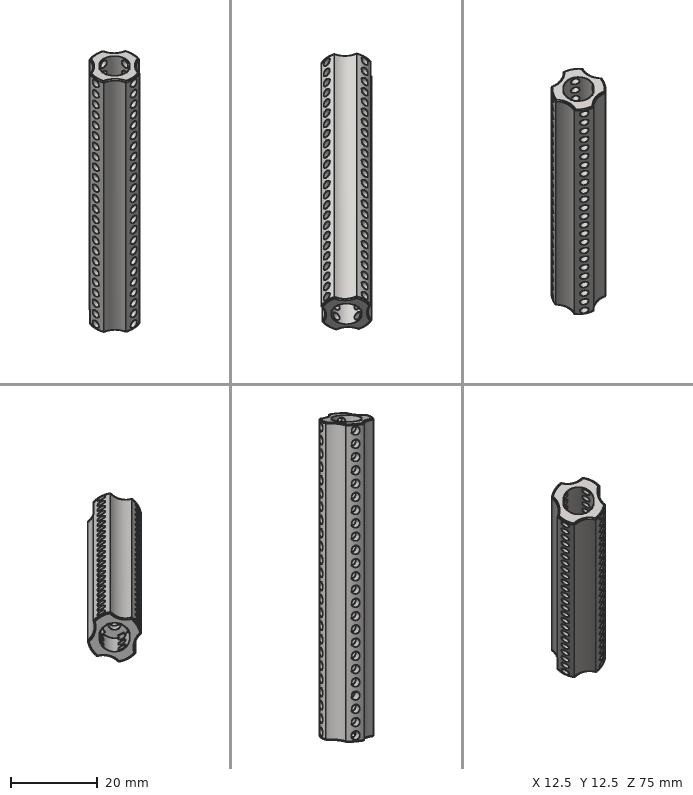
import cadquery as cq
import math

LENGTH = 75.0
OUTER_RADIUS = 12.5 / 2
LOBE_COUNT = 4
LOBE_HALF_WIDTH = 2.25
FLUTE_FLOOR_RADIUS = 4.95
END_CHAMFER = 0.3

BORE_DIAMETER = 7.1
WEB_TOP = 11.0
WEB_BOTTOM = 8.5
WEB_HOLE_DIAMETER = 3.0

SIDE_HOLE_DIAMETER = 2.0
SIDE_HOLE_COUNT = 24
SIDE_HOLE_PITCH = LENGTH / SIDE_HOLE_COUNT
WEB_CORE_DIAMETER = 6.0


def rotated(point, angle):
    """Turn a point about the tube axis by an angle in degrees."""
    x, y = point
    cosine = math.cos(math.radians(angle))
    sine = math.sin(math.radians(angle))
    return (x * cosine - y * sine, x * sine + y * cosine)


def make_body():
    """Extrude the lobed outline and chamfer both ends."""
    step = 360 / LOBE_COUNT
    lobe_reach = math.sqrt(OUTER_RADIUS**2 - LOBE_HALF_WIDTH**2)
    lobe_start = (lobe_reach, -LOBE_HALF_WIDTH)
    lobe_tip = (OUTER_RADIUS, 0)
    lobe_end = (lobe_reach, LOBE_HALF_WIDTH)
    flute_floor = rotated((FLUTE_FLOOR_RADIUS, 0), step / 2)

    outline = cq.Workplane("XY").moveTo(*lobe_start)
    for index in range(LOBE_COUNT):
        angle = index * step
        outline = outline.threePointArc(rotated(lobe_tip, angle), rotated(lobe_end, angle))
        outline = outline.threePointArc(
            rotated(flute_floor, angle), rotated(lobe_start, angle + step)
        )
    return outline.close().extrude(LENGTH).faces("<Z or >Z").chamfer(END_CHAMFER)


def cylinder_along_z(diameter, bottom, top):
    """Make a cylinder on the tube axis between two heights."""
    return cq.Workplane("XY").workplane(offset=bottom).circle(diameter / 2).extrude(top - bottom)


def make_side_holes():
    """Make the cutters for the hole rows of all lobes, each stopping at the web core."""
    positions = [(0, (index + 0.5) * SIDE_HOLE_PITCH) for index in range(SIDE_HOLE_COUNT)]
    row = (
        cq.Workplane("YZ")
        .pushPoints(positions)
        .circle(SIDE_HOLE_DIAMETER / 2)
        .extrude(OUTER_RADIUS)
        .cut(cylinder_along_z(WEB_CORE_DIAMETER, 0, LENGTH))
    )
    cutters = cq.Workplane("XY")
    for index in range(LOBE_COUNT):
        cutters = cutters.add(row.rotate((0, 0, 0), (0, 0, 1), index * 360 / LOBE_COUNT))
    return cutters.combine()


result = (
    make_body()
    .cut(cylinder_along_z(BORE_DIAMETER, WEB_TOP, LENGTH))
    .cut(cylinder_along_z(BORE_DIAMETER, 0, WEB_BOTTOM))
    .cut(cylinder_along_z(WEB_HOLE_DIAMETER, WEB_BOTTOM, WEB_TOP))
    .cut(make_side_holes())
)